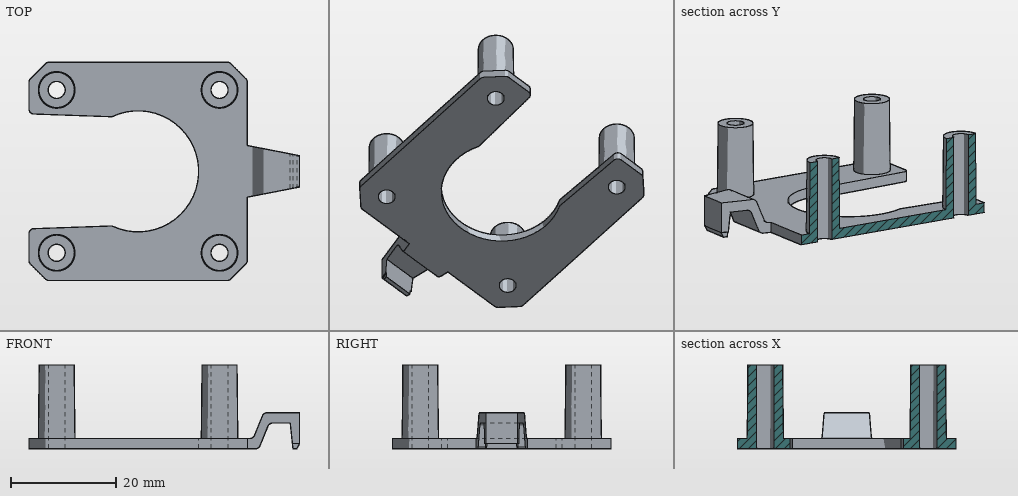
import cadquery as cq
import math

plate_side = 41.6
plate_thickness = 2.0
corner_chamfer = 3.45
edge_radius = 1.0
plate_half = plate_side / 2

bore_radius = 11.5
slot_mouth_half_width = 10.92
slot_flare_angle = 2.0
throat_radius = 0.5

standoff_pitch = 31.0
standoff_base_diameter = 7.0
standoff_top_diameter = 6.7
overall_height = 16.0
screw_hole_diameter = 3.2

clip_end_x = 30.75
clip_top_z = 6.9
clip_thickness = 2.0
clip_ramp_top_foot_x = 21.9
clip_ramp_bottom_foot_x = 22.98
clip_ramp_angle = 22.0
clip_bend_radius = 1.0
clip_end_half_width = 3.0
clip_side_angle = 11.0
clip_root_overlap = 1.0
hook_tip_width = 1.3
hook_draft_angle = 6.0
hook_chamfer_height = 1.0
hook_chamfer_depth = 0.55
hook_tip_side_step = 0.2


def make_plate():
    """Square plate with chamfered, slightly rounded corners and the keyhole opening."""
    plate = (
        cq.Workplane("XY")
        .rect(plate_side, plate_side)
        .extrude(plate_thickness)
        .edges("|Z")
        .chamfer(corner_chamfer)
        .edges("|Z")
        .fillet(edge_radius)
    )
    slot_narrow_half_width = slot_mouth_half_width - plate_half * math.tan(math.radians(slot_flare_angle))
    slot = (
        cq.Workplane("XY")
        .moveTo(-plate_half, -slot_mouth_half_width)
        .lineTo(0, -slot_narrow_half_width)
        .lineTo(0, slot_narrow_half_width)
        .lineTo(-plate_half, slot_mouth_half_width)
        .close()
        .extrude(plate_thickness)
    )
    bore = cq.Workplane("XY").circle(bore_radius).extrude(plate_thickness)
    plate = plate.cut(bore).cut(slot)

    mouth_corners = cq.selectors.BoxSelector(
        (-plate_half - edge_radius, -slot_mouth_half_width - edge_radius, 0),
        (-plate_half + edge_radius, slot_mouth_half_width + edge_radius, plate_thickness),
    )
    throat_corners = cq.selectors.BoxSelector(
        (-bore_radius, -bore_radius, 0),
        (-edge_radius, bore_radius, plate_thickness),
    )
    plate = plate.edges("|Z").edges(mouth_corners).fillet(edge_radius)
    return plate.edges("|Z").edges(throat_corners).fillet(throat_radius)


def make_clip():
    """Arm that ramps up from the plate, runs level, and ends in a downward hook."""
    ramp_run_per_rise = math.tan(math.radians(clip_ramp_angle))
    clip_underside_z = clip_top_z - clip_thickness
    ramp_crest_x = clip_ramp_top_foot_x + (clip_top_z - plate_thickness) * ramp_run_per_rise
    ramp_inner_x = clip_ramp_bottom_foot_x + clip_underside_z * ramp_run_per_rise
    hook_tip_x = clip_end_x - hook_tip_width
    hook_root_x = hook_tip_x - clip_underside_z * math.tan(math.radians(hook_draft_angle))
    root_x = plate_half - clip_root_overlap

    profile = (
        cq.Workplane("XZ")
        .moveTo(root_x, 0)
        .lineTo(clip_ramp_bottom_foot_x, 0)
        .lineTo(ramp_inner_x, clip_underside_z)
        .lineTo(hook_root_x, clip_underside_z)
        .lineTo(hook_tip_x, 0)
        .lineTo(clip_end_x - hook_chamfer_depth, 0)
        .lineTo(clip_end_x, hook_chamfer_height)
        .lineTo(clip_end_x, clip_top_z)
        .lineTo(ramp_crest_x, clip_top_z)
        .lineTo(clip_ramp_top_foot_x, plate_thickness)
        .lineTo(root_x, plate_thickness)
        .close()
        .extrude(plate_half, both=True)
    )
    bends = (
        (clip_ramp_bottom_foot_x, 0),
        (ramp_inner_x, clip_underside_z),
        (ramp_crest_x, clip_top_z),
        (clip_ramp_top_foot_x, plate_thickness),
    )
    for bend_x, bend_z in bends:
        nearest_edge = cq.selectors.NearestToPointSelector((bend_x, 0, bend_z))
        profile = profile.edges("|Y").edges(nearest_edge).fillet(clip_bend_radius)

    full_width = make_clip_footprint(root_x, clip_end_half_width)
    tip_width = make_clip_footprint(root_x, clip_end_half_width - hook_tip_side_step)
    tip_zone = cq.Workplane("XY").box(
        clip_end_x - ramp_inner_x, plate_side, hook_chamfer_height, centered=(False, True, False)
    ).translate((ramp_inner_x, 0, 0))
    return profile.intersect(full_width).cut(tip_zone.cut(tip_width))


def make_clip_footprint(root_x, end_half_width):
    """Tapered prism, as tall as the clip, with the given half width at its free end."""
    root_half_width = end_half_width + (clip_end_x - root_x) * math.tan(math.radians(clip_side_angle))
    return (
        cq.Workplane("XY")
        .moveTo(root_x, -root_half_width)
        .lineTo(clip_end_x, -end_half_width)
        .lineTo(clip_end_x, end_half_width)
        .lineTo(root_x, root_half_width)
        .close()
        .extrude(clip_top_z)
    )


def standoff_taper_angle():
    """Draft, in degrees, that shrinks a standoff from its base to its top diameter."""
    radius_loss = (standoff_base_diameter - standoff_top_diameter) / 2
    return math.degrees(math.atan2(radius_loss, overall_height - plate_thickness))


def make_standoffs():
    """Four posts that taper slightly toward the top."""
    return (
        cq.Workplane("XY", origin=(0, 0, plate_thickness))
        .rect(standoff_pitch, standoff_pitch, forConstruction=True)
        .vertices()
        .circle(standoff_base_diameter / 2)
        .extrude(overall_height - plate_thickness, taper=standoff_taper_angle())
    )


def make_screw_holes():
    """Through holes along the standoff axes."""
    return (
        cq.Workplane("XY")
        .rect(standoff_pitch, standoff_pitch, forConstruction=True)
        .vertices()
        .circle(screw_hole_diameter / 2)
        .extrude(overall_height)
    )


result = make_plate().union(make_clip()).union(make_standoffs()).cut(make_screw_holes())